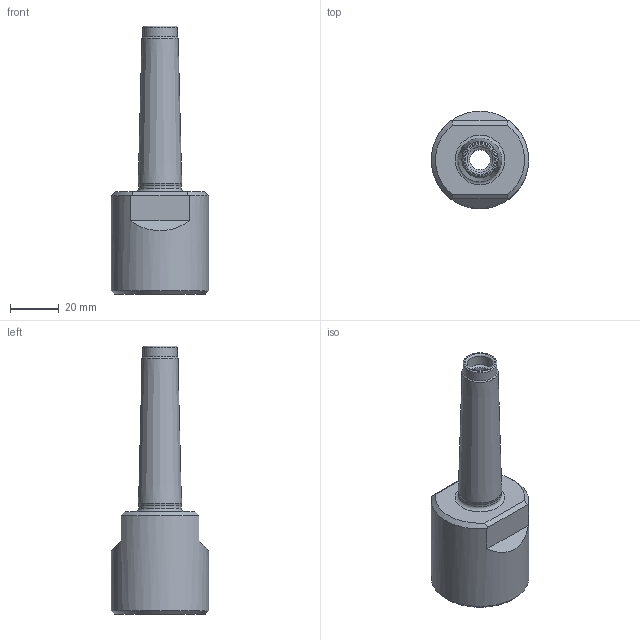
import cadquery as cq
import math

TOTAL_HEIGHT = 110.0
COLLAR_TOP = 42.0

BODY_RADIUS = 40.0 / 2
BOTTOM_CHAMFER = 1.3
COLLAR_CHAMFER = 1.7
FLAT_HALF_WIDTH = 16.0
FLAT_CHAMFER_HEIGHT = 1.4
FLAT_BOTTOM = 30.0
FLAT_RUNOUT = BODY_RADIUS - FLAT_HALF_WIDTH

NECK_RADIUS = 17.4 / 2
NECK_FILLET = 1.5
NECK_LENGTH = 1.0
NECK_CHAMFER_HEIGHT = 1.0
TAPER_BASE_RADIUS = 17.85 / 2
TAPER_RATIO = 0.05
TAPER_END = TOTAL_HEIGHT - 5.0

TIP_RADIUS = 14.0 / 2
TIP_OUTER_ROUNDING = 0.5
TIP_INNER_ROUNDING = 0.8
TIP_STEP_HEIGHT = 0.5

BORE_RADIUS = 8.38 / 2
COUNTERBORE_RADIUS = 10.5 / 2
COUNTERBORE_DEPTH = 5.0
COUNTERBORE_CONE_ANGLE = 60.0


def revolved(profile):
    """Turn a closed (radius, height) profile around the Z axis."""
    return profile.close().revolve(360, (0, 0, 0), (0, 1, 0))


def make_turned_body():
    """Cylindrical body with both rims chamfered."""
    body = cq.Workplane("XY").circle(BODY_RADIUS).extrude(COLLAR_TOP)
    return body.faces("<Z").chamfer(BOTTOM_CHAMFER).faces(">Z").chamfer(COLLAR_CHAMFER)


def make_flat_cutter():
    """Material removed beside the +Y flat: top chamfer, straight wall, 45 degree run-out."""
    outside = BODY_RADIUS + FLAT_RUNOUT
    profile = (
        cq.Workplane("YZ")
        .moveTo(FLAT_HALF_WIDTH - COLLAR_CHAMFER, COLLAR_TOP)
        .lineTo(FLAT_HALF_WIDTH, COLLAR_TOP - FLAT_CHAMFER_HEIGHT)
        .lineTo(FLAT_HALF_WIDTH, FLAT_BOTTOM)
        .lineTo(outside, FLAT_BOTTOM - (outside - FLAT_HALF_WIDTH))
        .lineTo(outside, COLLAR_TOP)
        .close()
    )
    return profile.extrude(BODY_RADIUS, both=True)


def make_body():
    """Turned body with a wrench flat on the +Y and the -Y side."""
    cutter = make_flat_cutter()
    return make_turned_body().cut(cutter).cut(cutter.mirror("XZ"))


def make_shank():
    """Neck with a root fillet, tapered shank and cylindrical tip."""
    neck_bottom = COLLAR_TOP + NECK_FILLET
    neck_top = neck_bottom + NECK_LENGTH
    taper_start = neck_top + NECK_CHAMFER_HEIGHT
    taper_end_radius = TAPER_BASE_RADIUS - (TAPER_END - taper_start) * TAPER_RATIO / 2
    fillet_middle = NECK_FILLET * (1 - math.sqrt(0.5))
    profile = (
        cq.Workplane("XZ")
        .moveTo(0, COLLAR_TOP)
        .lineTo(NECK_RADIUS + NECK_FILLET, COLLAR_TOP)
        .threePointArc(
            (NECK_RADIUS + fillet_middle, COLLAR_TOP + fillet_middle),
            (NECK_RADIUS, neck_bottom),
        )
        .lineTo(NECK_RADIUS, neck_top)
        .lineTo(TAPER_BASE_RADIUS, taper_start)
        .lineTo(taper_end_radius, TAPER_END)
        .lineTo(TIP_RADIUS, TAPER_END + TIP_STEP_HEIGHT)
        .lineTo(TIP_RADIUS, TOTAL_HEIGHT)
        .lineTo(0, TOTAL_HEIGHT)
    )
    return revolved(profile)


def make_bore():
    """Through bore, opening through a cone into the counterbore."""
    cone_top = TOTAL_HEIGHT - COUNTERBORE_DEPTH
    cone_height = (COUNTERBORE_RADIUS - BORE_RADIUS) / math.tan(math.radians(COUNTERBORE_CONE_ANGLE))
    profile = (
        cq.Workplane("XZ")
        .lineTo(BORE_RADIUS, 0)
        .lineTo(BORE_RADIUS, cone_top - cone_height)
        .lineTo(COUNTERBORE_RADIUS, cone_top)
        .lineTo(COUNTERBORE_RADIUS, TOTAL_HEIGHT)
        .lineTo(0, TOTAL_HEIGHT)
    )
    return revolved(profile)


def round_tip(part):
    """Round the inner and outer edges of the annular end face of the tip."""
    inner_edge = cq.selectors.RadiusNthSelector(0)
    outer_edge = cq.selectors.RadiusNthSelector(-1)
    rounded = part.faces(">Z").edges(inner_edge).fillet(TIP_INNER_ROUNDING)
    return rounded.faces(">Z").edges(outer_edge).fillet(TIP_OUTER_ROUNDING)


result = round_tip(make_body().union(make_shank()).cut(make_bore()))